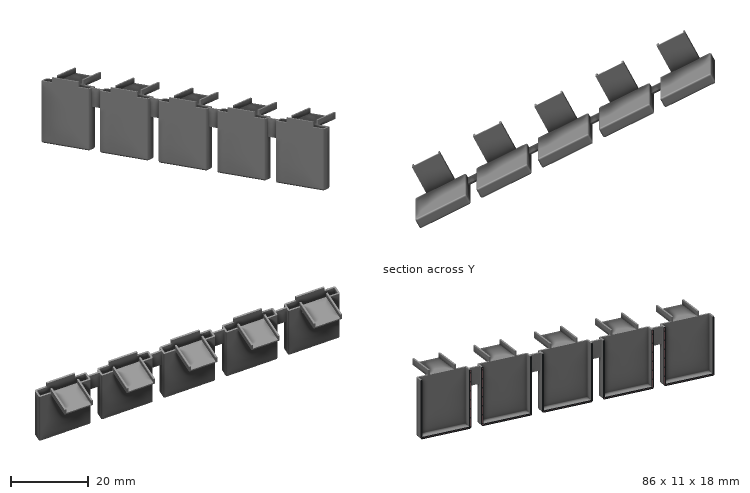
import cadquery as cq

tile_count = 5
row_length = 86.0
tile_width = 14.8
tile_height = 16.6
wall = 0.5
back_wall = 0.4
cavity_depth = 2.0
tile_depth = wall + cavity_depth + back_wall
front_rounding = wall
back_rounding = 0.42
floor_fillet = 0.215
pitch = (row_length - tile_width) / (tile_count - 1)

overall_depth = 11.0
overall_height = 18.0
tab_width = 8.1
channel_width = 8.1
channel_height = 1.8
channel_floor = 0.4

web_height = 5.0
web_thickness = wall


def block(width, depth, height, y, z):
    """Box centred on X, with its front face at y and its underside at z."""
    box = cq.Workplane("XY").box(width, depth, height, centered=(True, False, False))
    return box.translate((0, y, z))


def make_tile():
    """Open-topped hollow plate, rounded outside along the front, the bottom and the back corners."""
    body = block(tile_width, tile_depth, tile_height, 0, 0)
    body = body.edges("|Z and >Y").fillet(back_rounding)
    body = body.edges("(|Z and <Y) or (<Z and (not >Y))").fillet(front_rounding)
    cavity = block(tile_width - 2 * wall, cavity_depth, tile_height, wall, wall)
    cavity = cavity.edges(">Y and <Z").fillet(floor_fillet)
    return body.cut(cavity)


def make_tab():
    """Raised middle part of the front wall, standing on the wall below."""
    return block(tab_width, wall, overall_height - tile_height, 0, tile_height)


def make_channel():
    """U-shaped channel, open upwards, starting at the inner face of the back wall."""
    start = tile_depth - back_wall
    length = overall_depth - start
    base = overall_height - channel_height
    outer = block(channel_width, length, channel_height, start, base)
    groove = block(channel_width - 2 * wall, length, channel_height, start, base + channel_floor)
    return outer.cut(groove)


def make_web():
    """Web spanning one gap, flush with the tile rims and ending inside both side walls."""
    width = pitch - tile_width + wall
    front = (tile_depth - web_thickness) / 2
    return block(width, web_thickness, web_height, front, tile_height - web_height)


unit = make_tile().union(make_tab()).union(make_channel())
web = make_web()
first_x = -(row_length - tile_width) / 2

result = unit.translate((first_x, 0, 0))
for index in range(1, tile_count):
    tile_x = first_x + index * pitch
    result = result.union(unit.translate((tile_x, 0, 0)))
    result = result.union(web.translate((tile_x - pitch / 2, 0, 0)))